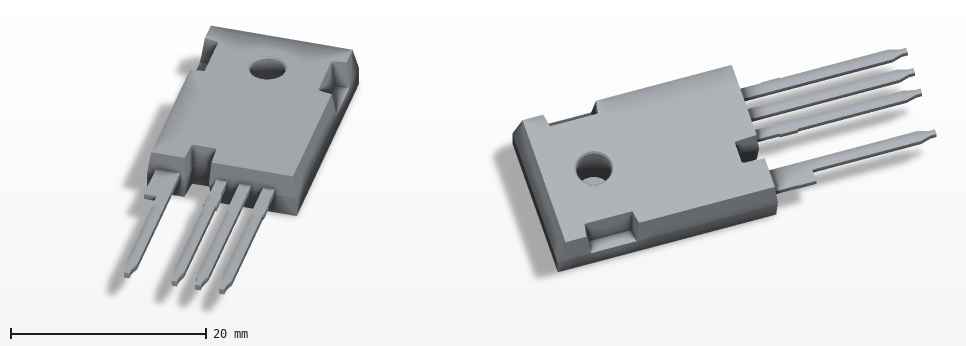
import cadquery as cq
import math


TOTAL_LENGTH = 41.4
CUTTER_OVERRUN = 0.83

BODY_WIDTH = 15.95
BODY_LENGTH = 23.6
BODY_HEIGHT = 5.0
SIDE_BREAK_Z = 2.1
FRONT_BREAK_Z = 2.45
SIDE_TOP_INSET = 0.4
BACK_TOP_INSET = 0.95
FRONT_DRAFT = 4.6

SLOT_X = -2.55
SLOT_DEPTH = 2.4
SLOT_FRONT_HALF_WIDTH = 1.25
SLOT_BACK_HALF_WIDTH = 1.1

HOLE_Y = BODY_LENGTH - 6.3
HOLE_RADIUS = 1.82
HOLE_CHAMFER_WIDTH = 0.15
HOLE_CHAMFER_DEPTH = 0.2

NOTCH_Y = BODY_LENGTH - 6.0
NOTCH_FLOOR_WALL_X = 6.55
NOTCH_FLOOR_HALF_LENGTH = 2.2
NOTCH_TOP_WALL_X = 6.05
NOTCH_TOP_HALF_LENGTH = 2.55
NOTCH_FLARE = 0.17

SINK_HALF_WIDTH = 6.8
SINK_MARGIN = BODY_WIDTH / 2 - SINK_HALF_WIDTH
SINK_FRONT_Y = SLOT_DEPTH + SINK_MARGIN
SINK_BACK_Y = BODY_LENGTH - SINK_MARGIN

INLAY_THICKNESS = 0.12
DISC_X = 3.2
DISC_Y = BODY_LENGTH - 9.9
DISC_RADIUS = 1.5
LABEL_WIDTH = 12.67
LABEL_LENGTH = 8.35
LABEL_Y = BODY_LENGTH - 15.95

LEAD_PITCH = 2.53
LEAD_LENGTH = TOTAL_LENGTH - BODY_LENGTH
LEAD_THICKNESS = 0.62
LEAD_EMBEDDED = 1.25
LEAD_HALF_WIDTH = 0.62
SLIM_LEAD_HALF_WIDTH = 0.6
TIP_HALF_WIDTH = 0.3
TIP_LENGTH = 0.65
TIP_TAPER_LENGTH = 1.08
SHOULDER_START = 2.4
SHOULDER_END = 4.4
SHOULDER_HALF_WIDTH = 0.7
PAD_EDGE = 1.95
PAD_SHOULDER_STEP = 0.05


def side_to_side_prism():
    """Front, top and back faces: their profile in YZ, extruded over the full width."""
    slope = math.tan(math.radians(FRONT_DRAFT))
    profile = [
        (FRONT_BREAK_Z * slope, 0),
        (0, FRONT_BREAK_Z),
        ((BODY_HEIGHT - FRONT_BREAK_Z) * slope, BODY_HEIGHT),
        (BODY_LENGTH - BACK_TOP_INSET, BODY_HEIGHT),
        (BODY_LENGTH, SIDE_BREAK_Z),
        (BODY_LENGTH, 0),
    ]
    return cq.Workplane("YZ").polyline(profile).close().extrude(BODY_WIDTH / 2, both=True)


def front_to_back_prism():
    """Side faces: their profile in XZ, extruded over the full length."""
    half = BODY_WIDTH / 2
    profile = [
        (-half, 0),
        (-half, SIDE_BREAK_Z),
        (-half + SIDE_TOP_INSET, BODY_HEIGHT),
        (half - SIDE_TOP_INSET, BODY_HEIGHT),
        (half, SIDE_BREAK_Z),
        (half, 0),
    ]
    return cq.Workplane("XZ").polyline(profile).close().extrude(-BODY_LENGTH)


def front_slot():
    """Cutter that is narrowest at the front break and widens upward and downward."""
    plan_slope = (SLOT_FRONT_HALF_WIDTH - SLOT_BACK_HALF_WIDTH) / SLOT_DEPTH
    mouth = SLOT_FRONT_HALF_WIDTH + plan_slope * CUTTER_OVERRUN
    outline = [
        (SLOT_X - mouth, -CUTTER_OVERRUN),
        (SLOT_X - SLOT_BACK_HALF_WIDTH, SLOT_DEPTH),
        (SLOT_X + SLOT_BACK_HALF_WIDTH, SLOT_DEPTH),
        (SLOT_X + mouth, -CUTTER_OVERRUN),
    ]
    break_plane = cq.Workplane("XY", origin=(0, 0, FRONT_BREAK_Z))
    upper_height = BODY_HEIGHT - FRONT_BREAK_Z
    upper = break_plane.polyline(outline).close().extrude(upper_height, taper=-FRONT_DRAFT)
    lower = break_plane.polyline(outline).close().extrude(-FRONT_BREAK_Z, taper=-FRONT_DRAFT)
    return upper.union(lower)


def notch_outline(wall_x, half_length):
    """Plan of a notch on the +X side, from its inner wall to beyond the housing."""
    outer_x = BODY_WIDTH / 2 + CUTTER_OVERRUN
    outer_half_length = half_length + NOTCH_FLARE * (outer_x - wall_x)
    corners = [
        (wall_x, NOTCH_Y - half_length),
        (outer_x, NOTCH_Y - outer_half_length),
        (outer_x, NOTCH_Y + outer_half_length),
        (wall_x, NOTCH_Y + half_length),
    ]
    return [cq.Vector(x, y) for x, y in corners]


def side_notches():
    """Cutters for the notches of both sides."""
    floor = notch_outline(NOTCH_FLOOR_WALL_X, NOTCH_FLOOR_HALF_LENGTH)
    top = notch_outline(NOTCH_TOP_WALL_X, NOTCH_TOP_HALF_LENGTH)
    floor_wire = cq.Wire.makePolygon(floor, close=True).translate(cq.Vector(0, 0, SIDE_BREAK_Z))
    top_wire = cq.Wire.makePolygon(top, close=True).translate(cq.Vector(0, 0, BODY_HEIGHT))
    right = cq.Workplane(cq.Solid.makeLoft([floor_wire, top_wire], True))
    return right.union(right.mirror("YZ"))


def mounting_hole():
    """Through hole with a chamfered top rim."""
    rim_radius = HOLE_RADIUS + HOLE_CHAMFER_WIDTH
    half_section = [
        (0, 0),
        (HOLE_RADIUS, 0),
        (HOLE_RADIUS, BODY_HEIGHT - HOLE_CHAMFER_DEPTH),
        (rim_radius, BODY_HEIGHT),
        (0, BODY_HEIGHT),
    ]
    hole = cq.Workplane("XZ").polyline(half_section).close().revolve(360, (0, 0), (0, 1))
    return hole.translate((0, HOLE_Y, 0))


def make_heat_sink():
    """Plate in the mounting face, pierced by the mounting hole."""
    length = SINK_BACK_Y - SINK_FRONT_Y
    base = cq.Workplane("XY", origin=(0, SINK_FRONT_Y + length / 2, 0))
    plate = base.rect(2 * SINK_HALF_WIDTH, length).extrude(SIDE_BREAK_Z)
    return plate.cut(mounting_hole())


def inlay_plane(x, y):
    """Plane of the bottom of an inlay, centred on the given place."""
    return cq.Workplane("XY", origin=(x, y, BODY_HEIGHT - INLAY_THICKNESS))


def make_disc(x):
    """Round inlay beside the mounting hole."""
    return inlay_plane(x, DISC_Y).circle(DISC_RADIUS).extrude(INLAY_THICKNESS)


def make_label():
    """Rectangular marking inlay."""
    return inlay_plane(0, LABEL_Y).rect(LABEL_WIDTH, LABEL_LENGTH).extrude(INLAY_THICKNESS)


def lead_slab(left, right, start, end):
    """Rectangular length of lead between two distances from the front of the housing."""
    base = cq.Workplane("XY", origin=((left + right) / 2, -(start + end) / 2, FRONT_BREAK_Z))
    return base.rect(right - left, end - start).extrude(LEAD_THICKNESS)


def make_lead(x, half_width):
    """Plain lead with a narrowed tip, embedded in the front of the housing."""
    taper_end = LEAD_LENGTH - TIP_LENGTH
    taper_start = taper_end - TIP_TAPER_LENGTH
    right_side = [
        (half_width, LEAD_EMBEDDED),
        (half_width, -taper_start),
        (TIP_HALF_WIDTH, -taper_end),
        (TIP_HALF_WIDTH, -LEAD_LENGTH),
    ]
    left_side = [(-dx, y) for dx, y in reversed(right_side)]
    base = cq.Workplane("XY", origin=(x, 0, FRONT_BREAK_Z))
    return base.polyline(right_side + left_side).close().extrude(LEAD_THICKNESS)


def make_leads():
    """The drain lead with its shouldered pad, then three leads on the other side of the slot."""
    drain_x = -2 * LEAD_PITCH
    drain_pad = lead_slab(drain_x - PAD_EDGE, drain_x, -LEAD_EMBEDDED, SHOULDER_END)
    shoulder_edge = drain_x - PAD_EDGE - PAD_SHOULDER_STEP
    drain_shoulder = lead_slab(shoulder_edge, drain_x, SHOULDER_START, SHOULDER_END)
    drain = make_lead(drain_x, LEAD_HALF_WIDTH).union(drain_pad).union(drain_shoulder)

    middle_shoulder = lead_slab(-SHOULDER_HALF_WIDTH, SHOULDER_HALF_WIDTH, SHOULDER_START, SHOULDER_END)
    middle = make_lead(0, SLIM_LEAD_HALF_WIDTH).union(middle_shoulder)

    plain = make_lead(LEAD_PITCH, LEAD_HALF_WIDTH)

    outer_x = 2 * LEAD_PITCH
    outer_shoulder = lead_slab(outer_x, outer_x + SHOULDER_HALF_WIDTH, SHOULDER_START, SHOULDER_END)
    outer = make_lead(outer_x, LEAD_HALF_WIDTH).union(outer_shoulder)
    return [drain, middle, plain, outer]


def make_housing(held_bodies):
    """Moulded housing with a matching recess for every body it holds."""
    housing = side_to_side_prism().intersect(front_to_back_prism())
    housing = housing.cut(front_slot()).cut(side_notches()).cut(mounting_hole())
    for body in held_bodies:
        housing = housing.cut(body)
    return housing


heat_sink = make_heat_sink()
discs = [make_disc(x) for x in (-DISC_X, DISC_X)]
label = make_label()
leads = make_leads()
housing = make_housing([heat_sink, label, *discs, *leads])

result = cq.Compound.makeCompound([
    housing.val(),
    heat_sink.val(),
    label.val(),
    *[disc.val() for disc in discs],
    *[lead.val() for lead in leads],
])